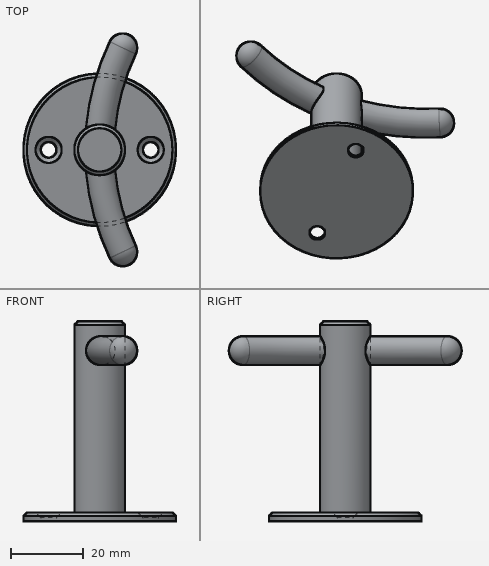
import cadquery as cq
import math

plate_diameter = 42.0
plate_thickness = 2.5
edge_chamfer = 1.0

screw_spacing = 28.0
screw_diameter = 4.2
countersink_diameter = 7.2
countersink_angle = 90

post_diameter = 13.95
overall_height = 55.0
post_height = overall_height - plate_thickness

arm_span = 64.0
arm_diameter = 8.0
arm_height = 46.9
arm_bend_radius = 65.0
arm_radius = arm_diameter / 2
arm_end_y = arm_span / 2 - arm_radius


def make_plate():
    """Round plate with a chamfered upper rim and two countersunk holes."""
    disc = cq.Workplane("XY").circle(plate_diameter / 2).extrude(plate_thickness)
    return (
        disc.faces(">Z").chamfer(edge_chamfer)
        .faces(">Z").workplane(origin=(0, 0, plate_thickness))
        .rarray(screw_spacing, 0.65, 2, 1)
        .cskHole(screw_diameter, countersink_diameter, countersink_angle)
    )


def make_post():
    """Cylinder standing on the plate, chamfered at its top."""
    return (
        cq.Workplane("XY", origin=(0, 0, plate_thickness))
        .circle(post_diameter / 2).extrude(post_height)
        .faces(">Z").chamfer(edge_chamfer)
    )


def bend_point(angle):
    """Point (x, y) on the arm centre line, which leaves the post axis along Y and bends to +X."""
    x = arm_bend_radius * (1 - math.cos(angle))
    y = arm_bend_radius * math.sin(angle)
    return x, y


def make_arm(side, post):
    """Round-ended arm butting on the post; side is +1 toward +Y and -1 toward -Y."""
    end_angle = math.asin(arm_end_y / arm_bend_radius)
    mid_x, mid_y = bend_point(end_angle / 2)
    end_x, end_y = bend_point(end_angle)
    path = (
        cq.Workplane("XY", origin=(0, 0, arm_height))
        .threePointArc((mid_x, side * mid_y), (end_x, side * end_y))
    )
    rod = cq.Workplane("XZ", origin=(0, 0, arm_height)).circle(arm_radius).sweep(path)
    tip = cq.Workplane("XY", origin=(end_x, side * end_y, arm_height)).sphere(arm_radius)
    return rod.union(tip).cut(post)


plate = make_plate()
post = make_post()
arms = [make_arm(side, post) for side in (-1, 1)]

result = cq.Compound.makeCompound([plate.val(), post.val(), *[arm.val() for arm in arms]])